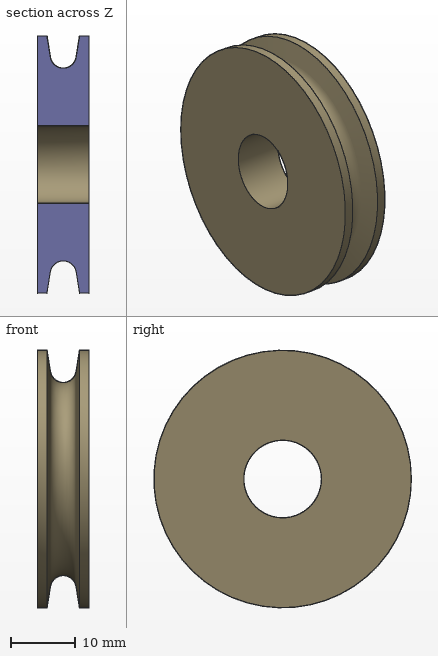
import cadquery as cq
import math

outer_radius = 20.0
width = 8.0
bore_diameter = 12.0

groove_mouth_width = 5.0
groove_depth = 5.0
groove_round_radius = 2.0


def groove_profile():
    """Half-section of the groove: X along the axis, Y as the radius."""
    half_mouth = groove_mouth_width / 2
    floor_radius = outer_radius - groove_depth
    round_center = floor_radius + groove_round_radius

    rise = outer_radius - round_center
    corner_distance = math.hypot(half_mouth, rise)
    corner_angle = math.atan2(rise, half_mouth)
    tangent_angle = corner_angle - math.acos(groove_round_radius / corner_distance)
    tangent_x = groove_round_radius * math.cos(tangent_angle)
    tangent_y = round_center + groove_round_radius * math.sin(tangent_angle)

    return (
        cq.Workplane("XY")
        .moveTo(-half_mouth, outer_radius)
        .lineTo(-tangent_x, tangent_y)
        .threePointArc((0, floor_radius), (tangent_x, tangent_y))
        .lineTo(half_mouth, outer_radius)
        .close()
    )


wheel = (
    cq.Workplane("YZ")
    .circle(outer_radius)
    .circle(bore_diameter / 2)
    .extrude(width / 2, both=True)
)
groove = groove_profile().revolve(360, (0, 0, 0), (1, 0, 0))

result = wheel.cut(groove)